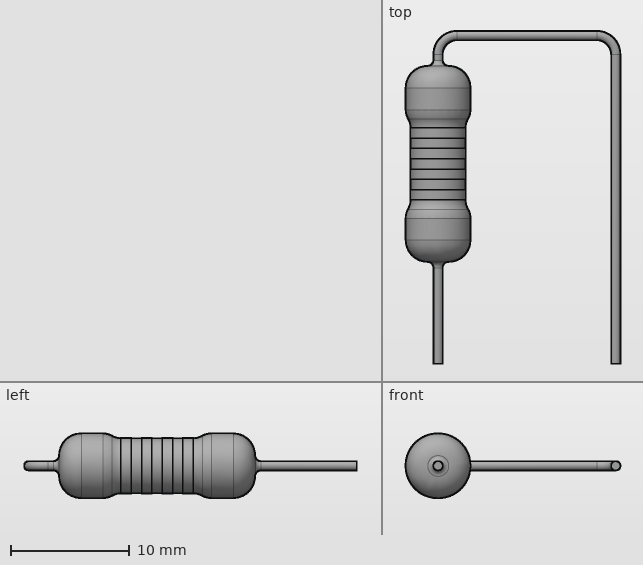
import cadquery as cq
import math


cap_radius = 5.5 / 2
waist_radius = 4.67 / 2
body_half_length = 8.28
shoulder_start = 4.58

band_radius = 4.7 / 2
band_width = 0.87
band_count = 4
band_pitch = 2 * band_width
band_group_half_length = (2 * band_count - 1) * band_width / 2

lead_radius = 0.8 / 2
lead_pitch = 15.0
collar_radius = 0.48
bend_radius = 1.6
bend_start = 9.23
lead_tip_y = -16.87

collar_foot_radius = lead_radius + collar_radius
dome_radius = cap_radius - collar_foot_radius
dome_start = body_half_length - dome_radius
collar_end = body_half_length + collar_radius
shoulder_end = band_group_half_length
shoulder_mid = (shoulder_start + shoulder_end) / 2
shoulder_mid_radius = (cap_radius + waist_radius) / 2
cos45 = math.cos(math.pi / 4)


def revolve_about_y(outline):
    return outline.close().revolve(360, (0, 0, 0), (0, 1, 0))


def make_body_end():
    """The +Y end of the body: shoulder, domed cap and lead collar."""
    half_length = shoulder_mid - shoulder_end
    half_rise = shoulder_mid_radius - waist_radius
    bend_angle = 2 * math.atan2(half_rise, half_length)
    shoulder_radius = half_length / math.sin(bend_angle)
    inner_bend = (
        waist_radius + shoulder_radius * (1 - math.cos(bend_angle / 2)),
        shoulder_end + shoulder_radius * math.sin(bend_angle / 2),
    )
    dome_mid = (collar_foot_radius + dome_radius * cos45, dome_start + dome_radius * cos45)
    collar_mid_radius = lead_radius + collar_radius * (1 - cos45)
    collar_mid_y = collar_end - collar_radius * cos45
    outline = (
        cq.Workplane("XY")
        .moveTo(0, shoulder_end)
        .lineTo(waist_radius, shoulder_end)
        .threePointArc(inner_bend, (shoulder_mid_radius, shoulder_mid))
        .tangentArcPoint((cap_radius, shoulder_start), relative=False)
        .lineTo(cap_radius, dome_start)
        .threePointArc(dome_mid, (collar_foot_radius, body_half_length))
        .threePointArc((collar_mid_radius, collar_mid_y), (lead_radius, collar_end))
        .lineTo(0, collar_end)
    )
    return revolve_about_y(outline)


def make_disc(radius, start_y, end_y):
    outline = (
        cq.Workplane("XY")
        .moveTo(0, start_y)
        .lineTo(radius, start_y)
        .lineTo(radius, end_y)
        .lineTo(0, end_y)
    )
    return revolve_about_y(outline)


def make_waist():
    return make_disc(waist_radius, -shoulder_end, shoulder_end)


def make_band(index):
    start_y = index * band_pitch - band_group_half_length
    return make_disc(band_radius, start_y, start_y + band_width)


def make_straight_lead():
    length = -collar_end - lead_tip_y
    return cq.Workplane("XZ", origin=(0, -collar_end, 0)).circle(lead_radius).extrude(length)


def make_folded_lead():
    """Lead leaving the +Y cap, turning twice and returning parallel to the body."""
    crossing_y = bend_start + bend_radius
    path = (
        cq.Workplane("XY")
        .moveTo(0, collar_end)
        .lineTo(0, bend_start)
        .tangentArcPoint((bend_radius, crossing_y), relative=False)
        .lineTo(lead_pitch - bend_radius, crossing_y)
        .tangentArcPoint((lead_pitch, bend_start), relative=False)
        .lineTo(lead_pitch, lead_tip_y)
    )
    return cq.Workplane("XZ", origin=(0, collar_end, 0)).circle(lead_radius).sweep(path)


body_end = make_body_end()
result = make_waist().union(body_end).union(body_end.mirror("XZ"))
for index in range(band_count):
    result = result.union(make_band(index))
result = result.union(make_straight_lead()).union(make_folded_lead())